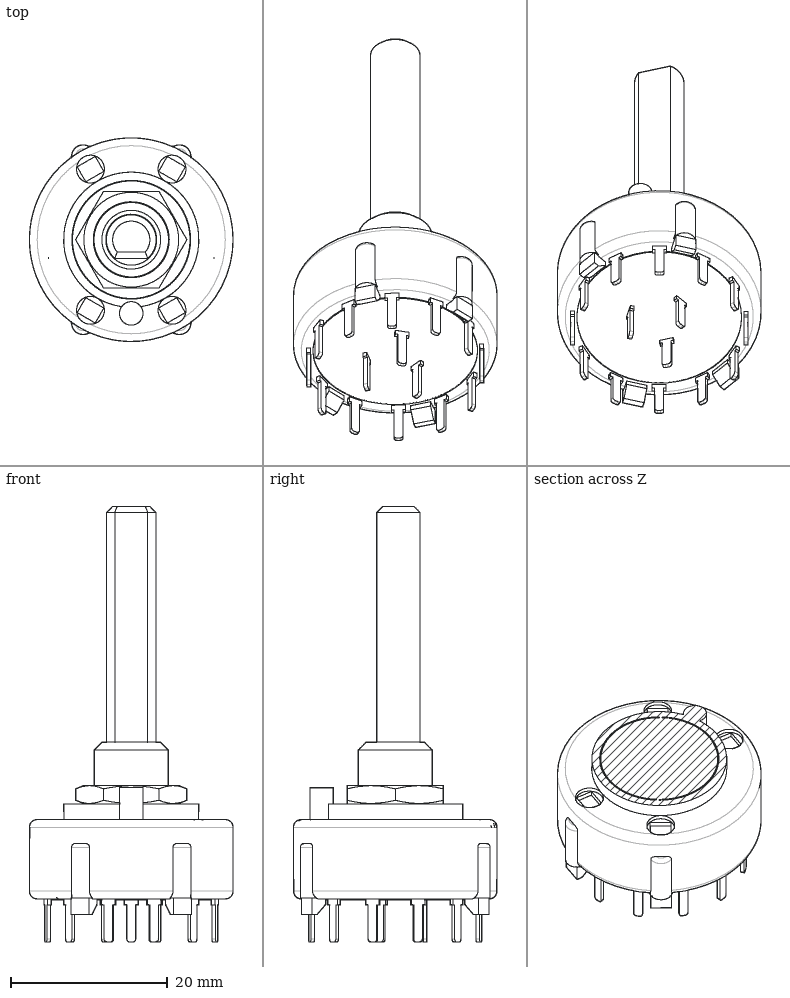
import cadquery as cq
import math


overall_height = 55.6

body_diameter = 26.0
body_height = 10.15
body_edge_radius = 1.0
base_diameter = 21.0
base_thickness = 0.15
base_bottom = -body_height - base_thickness

flange_diameter = 17.25
flange_height = 2.0
washer_diameter = 15.0
washer_recess_diameter = 15.15
washer_gap_depth = 0.5

nut_across_flats = 12.3
nut_across_corners = nut_across_flats / math.cos(math.radians(30))
nut_height = 2.35
nut_face_diameter = 12.1
nut_chamfer_height = 0.45
nut_bore_diameter = 9.7
nut_gap_depth = 0.5
nut_top = flange_height + nut_height

bushing_diameter = 9.5
bushing_top = 9.85
bushing_chamfer = 1.0
bushing_bore_diameter = 6.5
bushing_bore_depth = 2.0
bushing_bore_bottom = bushing_top - bushing_bore_depth

shaft_diameter = 6.35
shaft_top = 39.95
shaft_flat_distance = 2.38
shaft_chamfer = 0.8

post_diameter = 3.0
post_radius_from_axis = 9.4
post_height = 4.05

leg_angles = (60, 120, 240, 300)

rib_radius = 1.47
rib_centre_distance = 12.28
rib_top = -3.05
rib_bottom = -10.0
rib_top_fillet = 0.5

leg_width = 2.66
leg_inner = 11.0
leg_outer = 13.05
leg_bottom = -12.15
leg_chamfer = 1.3

recess_diameter = 3.55
recess_distance = 10.4
recess_depth = 0.55
window_length = 2.66
window_width = 2.2
window_depth = 0.65

pin_width = 1.15
pin_thickness = 0.5
pin_tip = shaft_top - overall_height
pin_tip_radius = 0.4
shoulder_width = 1.8
shoulder_bottom = -10.9
outer_pin_count = 12
outer_pin_distance = 11.05
outer_pin_first_angle = 15
common_pin_count = 3
common_pin_distance = 3.8
common_pin_first_angle = 90


def cylinder(diameter, bottom, top):
    return cq.Workplane("XY").workplane(offset=bottom).circle(diameter / 2).extrude(top - bottom)


def turn_to(shape, angle):
    """Turn a shape built on +X to the given angle about Z."""
    return shape.rotate((0, 0, 0), (0, 0, 1), angle)


def make_housing():
    body = cylinder(body_diameter, -body_height, 0).edges().fillet(body_edge_radius)
    base = cylinder(base_diameter, base_bottom, -body_height)
    flange = cylinder(flange_diameter, 0, flange_height)
    gap_bottom = flange_height - washer_gap_depth
    washer = cylinder(washer_diameter, gap_bottom, flange_height)
    gap = cylinder(washer_recess_diameter, gap_bottom, flange_height).cut(washer)
    post = cylinder(post_diameter, 0, post_height).translate((0, -post_radius_from_axis, 0))
    return body.union(base).union(flange.cut(gap)).union(post)


def make_nut():
    nut = (
        cq.Workplane("XY")
        .workplane(offset=flange_height)
        .polygon(6, nut_across_corners)
        .extrude(nut_height)
    )
    corner_radius = nut_across_corners / 2
    face_radius = nut_face_diameter / 2
    chamfer_envelope = (
        cq.Workplane("XZ")
        .moveTo(0, flange_height)
        .lineTo(face_radius, flange_height)
        .lineTo(corner_radius, flange_height + nut_chamfer_height)
        .lineTo(corner_radius, nut_top - nut_chamfer_height)
        .lineTo(face_radius, nut_top)
        .lineTo(0, nut_top)
        .close()
        .revolve()
    )
    bore = cylinder(nut_bore_diameter, nut_top - nut_gap_depth, nut_top)
    return nut.intersect(chamfer_envelope).cut(bore)


def make_bushing():
    bushing = cylinder(bushing_diameter, flange_height, bushing_top).faces(">Z").chamfer(bushing_chamfer)
    return bushing.cut(cylinder(bushing_bore_diameter, bushing_bore_bottom, bushing_top))


def make_shaft():
    shaft = cylinder(shaft_diameter, flange_height, shaft_top).faces(">Z").chamfer(shaft_chamfer)
    flat = -shaft_flat_distance
    flat_cut = (
        cq.Workplane("YZ")
        .moveTo(-shaft_diameter, bushing_bore_bottom)
        .lineTo(flat, bushing_bore_bottom)
        .lineTo(flat, shaft_top - shaft_chamfer)
        .lineTo(flat + shaft_chamfer, shaft_top)
        .lineTo(-shaft_diameter, shaft_top)
        .close()
        .extrude(shaft_diameter, both=True)
    )
    return shaft.cut(flat_cut)


def make_leg():
    """Outer rib with a domed top, and the hooked foot below it, on +X."""
    rib = cylinder(2 * rib_radius, rib_bottom, rib_top).faces(">Z").edges().fillet(rib_top_fillet)
    foot = (
        cq.Workplane("XZ")
        .moveTo(leg_inner, rib_bottom)
        .lineTo(leg_outer, rib_bottom)
        .lineTo(leg_outer, leg_bottom)
        .lineTo(leg_inner + leg_chamfer, leg_bottom)
        .lineTo(leg_inner, leg_bottom + leg_chamfer)
        .close()
        .extrude(leg_width / 2, both=True)
    )
    return rib.translate((rib_centre_distance, 0, 0)).union(foot)


def make_recess():
    """Round recess with a rectangular pocket in its floor, on +X."""
    round_part = cylinder(recess_diameter, -recess_depth, 0)
    window = (
        cq.Workplane("XY")
        .box(window_width, window_length, window_depth, centered=(True, True, False))
        .translate((0, 0, -recess_depth - window_depth))
    )
    return round_part.union(window).translate((recess_distance, 0, 0))


def make_pin(distance):
    """Flat terminal, wide across the radius, with a shoulder under the base, on +X."""
    blade = (
        cq.Workplane("XY")
        .box(pin_thickness, pin_width, base_bottom - pin_tip, centered=(True, True, False))
        .faces("<Z")
        .edges("|X")
        .fillet(pin_tip_radius)
    )
    shoulder = (
        cq.Workplane("XY")
        .box(pin_thickness, shoulder_width, -body_height - shoulder_bottom, centered=(True, True, False))
        .translate((0, 0, shoulder_bottom))
    )
    return blade.translate((0, 0, pin_tip)).union(shoulder).translate((distance, 0, 0))


def add_pin_ring(part, count, distance, first_angle):
    pin = make_pin(distance)
    for index in range(count):
        part = part.union(turn_to(pin, first_angle + index * 360 / count))
    return part


result = make_housing().union(make_nut()).union(make_bushing()).union(make_shaft())
for leg_angle in leg_angles:
    result = result.union(turn_to(make_leg(), leg_angle)).cut(turn_to(make_recess(), leg_angle))
result = add_pin_ring(result, outer_pin_count, outer_pin_distance, outer_pin_first_angle)
result = add_pin_ring(result, common_pin_count, common_pin_distance, common_pin_first_angle)